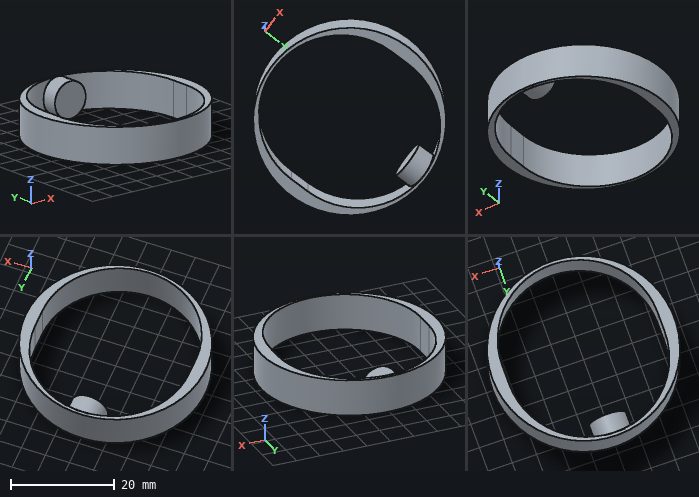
import cadquery as cq

outer_diameter = 37.4
ring_height = 7.65

opening_width = 31.95
opening_length = 35.98

pin_diameter = ring_height
pin_tip_y = 14.0

base_plane = cq.Workplane("XY", origin=(0, 0, -ring_height / 2))


def make_disc():
    """Solid disc filling the outer surface of the ring, centred on the origin."""
    return base_plane.circle(outer_diameter / 2).extrude(ring_height)


def make_opening():
    """Oblong through opening, longest along Y."""
    return base_plane.slot2D(opening_length, opening_width, angle=90).extrude(ring_height)


def make_pin():
    """Cylinder along Y from its flat tip to the outer radius of the ring."""
    pin_length = outer_diameter / 2 - pin_tip_y
    return (
        cq.Workplane("XZ", origin=(0, pin_tip_y, 0))
        .circle(pin_diameter / 2)
        .extrude(-pin_length)
    )


result = make_disc().cut(make_opening().cut(make_pin()))